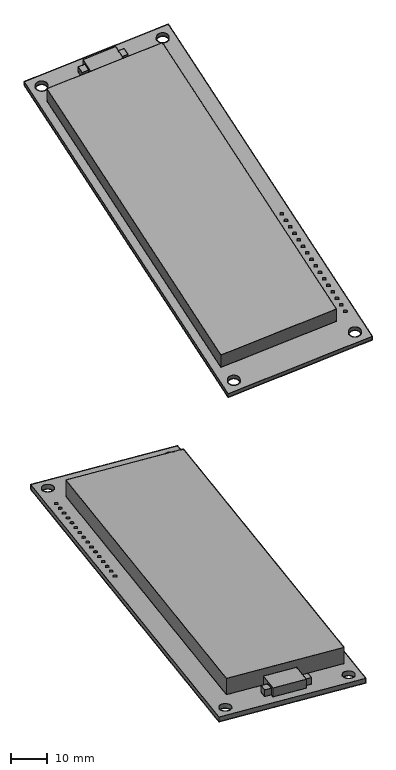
import cadquery as cq

board_length = 122.0
board_width = 44.0
board_thickness = 1.6
total_height = 7.0

mount_diameter = 3.5
mount_inset = 3.5

pin_count = 16
pin_diameter = 1.0
pin_pitch = 2.54
first_pin_x = 11.8
pin_inset = 2.6

frame_length = 104.1
frame_width = 35.3
frame_x = -0.1
frame_y = -2.0
frame_left = frame_x - frame_length / 2
window_length = 99.3
window_width = 24.9
window_x = -0.7
window_thickness = 0.6
window_corner_radius = 1.0

connector_left = -58.4
connector_width = 10.0
connector_height = 2.9
connector_y = -0.4
tab_left = -57.3
tab_length = 2.3
tab_span = 14.0
tab_height = 2.2


def block(left, length, width, center_y, bottom, height):
    """Box starting at X = left, centred across Y and rising from Z = bottom."""
    return (
        cq.Workplane("XY", origin=(left, center_y, bottom))
        .box(length, width, height, centered=(False, True, False))
    )


def make_board():
    board = block(-board_length / 2, board_length, board_width, 0, 0, board_thickness)
    mount_spacing_x = board_length - 2 * mount_inset
    mount_spacing_y = board_width - 2 * mount_inset
    pin_y = board_width / 2 - pin_inset
    pin_points = [(first_pin_x + i * pin_pitch, pin_y) for i in range(pin_count)]
    top = board.faces(">Z").workplane(origin=(0, 0, board_thickness))
    board = top.rarray(mount_spacing_x, mount_spacing_y, 2, 2).hole(mount_diameter)
    top = board.faces(">Z").workplane(origin=(0, 0, board_thickness))
    return top.pushPoints(pin_points).hole(pin_diameter)


def make_frame():
    frame_height = total_height - board_thickness
    return block(frame_left, frame_length, frame_width, frame_y, board_thickness, frame_height)


def make_window():
    left = window_x - window_length / 2
    bottom = total_height - window_thickness
    window = block(left, window_length, window_width, frame_y, bottom, window_thickness)
    return window.edges("|Z").fillet(window_corner_radius)


def make_connector():
    body_length = frame_left - connector_left
    body = block(
        connector_left, body_length, connector_width, connector_y, board_thickness, connector_height
    )
    tabs = block(tab_left, tab_length, tab_span, connector_y, board_thickness, tab_height)
    return body.union(tabs)


module = make_board().union(make_frame()).union(make_connector())

result = module.union(make_window(), clean=False)